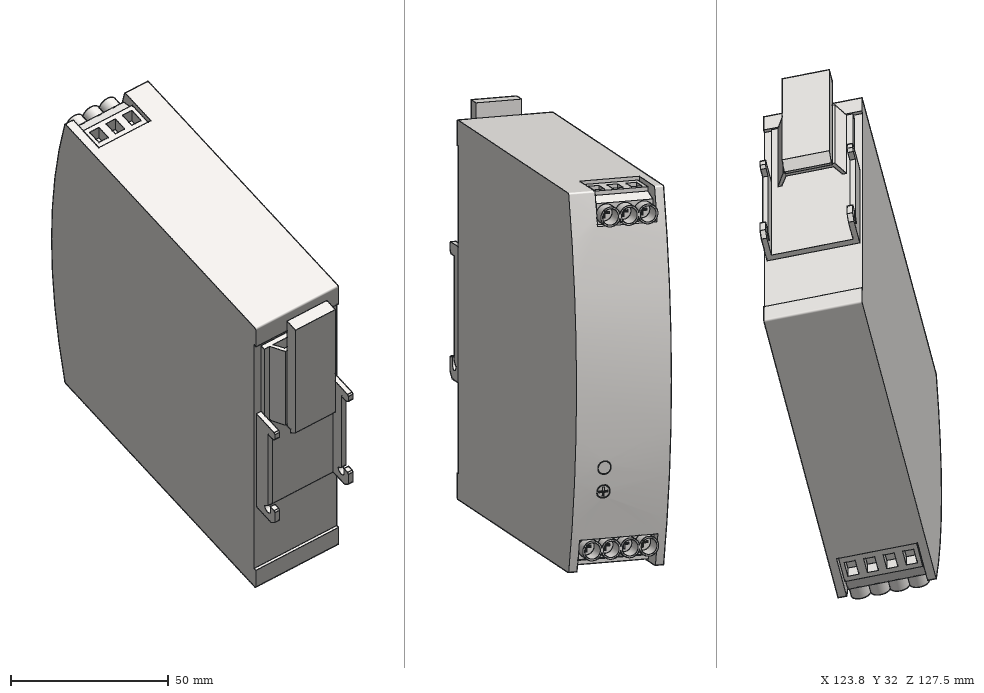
import cadquery as cq
import math

HOUSING_WIDTH = 32.0
HOUSING_HEIGHT = 124.0
HOUSING_DEPTH = 113.7
FACE_BULGE = 7.5
CORNER_RADIUS = 0.7
BACK_RECESS = 1.0
LIP_HEIGHT = 8.5
MID_HEIGHT = HOUSING_HEIGHT / 2
BACK_X = HOUSING_DEPTH - BACK_RECESS
FACE_RADIUS = (MID_HEIGHT**2 + FACE_BULGE**2) / (2 * FACE_BULGE)

TERMINAL_PITCH = 6.35
POCKET_GAP = 0.5
POCKET_BACK_X = 22.0
POCKET_DEPTH = 11.0
TERMINAL_FRONT_X = 7.6
SHELF_X = 12.4
SHELF_DROP = 1.2
SLOPE_TOP_DROP = 2.6
SLOPE_END_DROP = 4.1
WINDOW_LENGTH = 5.2
WINDOW_WIDTH = 3.6
WINDOW_DEPTH = 5.0
WINDOW_X = 16.7
TOP_TERMINALS = 3
TOP_CENTRE_Y = -2.9
BOTTOM_TERMINALS = 4
BOTTOM_CENTRE_Y = 0.0

COLLAR_FRONT_X = 3.1
COLLAR_DIAMETER = 6.5
COLLAR_BORE = 5.3
COLLAR_BORE_DEPTH = 6.0
COLLAR_DROP = 7.7
COLLAR_ROOT = 1.0
SCREW_SLOT_LENGTH = 3.4
SLOT_WIDTH = 0.6
SLOT_DEPTH = 1.0

CONTROL_Y = 6.1
INDICATOR_Z = 35.0
ADJUSTER_Z = 27.0
CONTROL_HOLE = 4.5
CONTROL_CORE = 4.2
CONTROL_DEPTH = 1.0
ADJUSTER_SLOT_LENGTH = 3.0

CLIP_BOTTOM_Z = 37.5
CLIP_TOP_Z = 82.0
CLIP_INNER_Y = 13.3
CLIP_THICKNESS = 1.8
CLIP_REST_X = 119.1
CLIP_TIP_X = 123.0
UPPER_HOOK_Z = 78.1
UPPER_HOOK_CHAMFER = 1.0
HOOK_EDGE_CHAMFER = 0.5
LOWER_HOOK_Z = 44.7
LOWER_HOOK_SLOT_X = 120.5
LOWER_HOOK_CHAMFER = 2.0
SLOT_CENTRE_X = 118.9
SLOT_CENTRE_Z = 42.3
BASE_X = 114.5
GUIDE_TOP_Z = 113.4
GUIDE_THICKNESS = 1.3
GUIDE_FOOT_Y = 11.2
GUIDE_CROWN_Y = 8.4
BAR_WIDTH = 15.4
BAR_OUTER_X = 123.82
BAR_TOP_Z = 127.5
BAR_CHAMFER_Z = 78.4
BAR_TIP_X = 120.9
BAR_TIP_Z = 75.6
BAR_NOTCH_Z = 77.4


def box(x_range, y_range, z_range):
    """Box between the two limits given for each axis."""
    sizes = [limits[1] - limits[0] for limits in (x_range, y_range, z_range)]
    corner = (x_range[0], y_range[0], z_range[0])
    return cq.Workplane("XY").box(*sizes, centered=False).translate(corner)


def extrude_along_y(profile, y_start, y_end):
    """Extrude an XZ profile between two Y positions."""
    return profile.extrude(-(y_end - y_start)).translate((0, y_start, 0))


def rod(x_start, x_end, y, z, diameter):
    """Cylinder along X."""
    plane = cq.Workplane("YZ", origin=(x_start, y, z))
    return plane.circle(diameter / 2).extrude(x_end - x_start)


def cross(x_start, y, z, length):
    """Cross-shaped slot cutter, running in +X from x_start."""
    plane = cq.Workplane("YZ", origin=(x_start, y, z))
    across = plane.rect(length, SLOT_WIDTH).extrude(SLOT_DEPTH)
    upright = plane.rect(SLOT_WIDTH, length).extrude(SLOT_DEPTH)
    return across.union(upright)


def face_x(z):
    """X of the curved face at height z."""
    return FACE_RADIUS - math.sqrt(FACE_RADIUS**2 - (z - MID_HEIGHT) ** 2)


def make_housing():
    half = HOUSING_WIDTH / 2
    profile = (
        cq.Workplane("XZ")
        .moveTo(FACE_BULGE, 0)
        .threePointArc((0, MID_HEIGHT), (FACE_BULGE, HOUSING_HEIGHT))
        .lineTo(HOUSING_DEPTH, HOUSING_HEIGHT)
        .lineTo(HOUSING_DEPTH, 0)
        .close()
    )
    body = extrude_along_y(profile, -half, half).edges("|Y").fillet(CORNER_RADIUS)
    recess = box((BACK_X, HOUSING_DEPTH), (-half, half), (LIP_HEIGHT, HOUSING_HEIGHT - LIP_HEIGHT))
    return body.cut(recess)


def add_terminals(body, count, centre_y, end_z, inward):
    """Cut a terminal pocket at one end of the housing and add its collars.

    end_z is the Z of that end; inward is +1 or -1, the Z direction into the housing.
    """

    def level(drop):
        return end_z + inward * drop

    block_half = count * TERMINAL_PITCH / 2
    pocket_half = block_half + POCKET_GAP
    pocket_z = sorted((end_z, level(POCKET_DEPTH)))
    body = body.cut(box((0, POCKET_BACK_X), (centre_y - pocket_half, centre_y + pocket_half), pocket_z))

    block = (
        cq.Workplane("XZ")
        .moveTo(POCKET_BACK_X, level(SHELF_DROP))
        .lineTo(SHELF_X, level(SHELF_DROP))
        .lineTo(SHELF_X, level(SLOPE_TOP_DROP))
        .lineTo(TERMINAL_FRONT_X, level(SLOPE_END_DROP))
        .lineTo(TERMINAL_FRONT_X, level(POCKET_DEPTH))
        .lineTo(POCKET_BACK_X, level(POCKET_DEPTH))
        .close()
    )
    body = body.union(extrude_along_y(block, centre_y - block_half, centre_y + block_half))

    collar_z = level(COLLAR_DROP)
    bore_end_x = COLLAR_FRONT_X + COLLAR_BORE_DEPTH
    window_z = sorted((level(SHELF_DROP), level(SHELF_DROP + WINDOW_DEPTH)))
    window_x = (WINDOW_X - WINDOW_LENGTH / 2, WINDOW_X + WINDOW_LENGTH / 2)
    for index in range(count):
        y = centre_y + (index - (count - 1) / 2) * TERMINAL_PITCH
        body = body.union(rod(COLLAR_FRONT_X, TERMINAL_FRONT_X + COLLAR_ROOT, y, collar_z, COLLAR_DIAMETER))
        body = body.cut(rod(COLLAR_FRONT_X, bore_end_x, y, collar_z, COLLAR_BORE))
        body = body.cut(cross(bore_end_x, y, collar_z, SCREW_SLOT_LENGTH))
        body = body.cut(box(window_x, (y - WINDOW_WIDTH / 2, y + WINDOW_WIDTH / 2), window_z))
    return body


def cut_controls(body):
    """Cut a ring groove around the indicator and the adjuster, and a cross slot in the adjuster."""
    for z in (INDICATOR_Z, ADJUSTER_Z):
        end_x = face_x(z) + CONTROL_DEPTH
        groove = rod(0, end_x, CONTROL_Y, z, CONTROL_HOLE).cut(rod(0, end_x, CONTROL_Y, z, CONTROL_CORE))
        body = body.cut(groove)
    return body.cut(cross(face_x(ADJUSTER_Z), CONTROL_Y, ADJUSTER_Z, ADJUSTER_SLOT_LENGTH))


def make_clip_plate(y_start):
    """Side plate with an upper hook and a slotted lower hook."""
    slot_radius = LOWER_HOOK_SLOT_X - SLOT_CENTRE_X
    slot_bottom = (SLOT_CENTRE_X, SLOT_CENTRE_Z - slot_radius)
    slot_inner_side = (SLOT_CENTRE_X - slot_radius, SLOT_CENTRE_Z)
    profile = (
        cq.Workplane("XZ")
        .moveTo(BACK_X, CLIP_BOTTOM_Z)
        .lineTo(CLIP_TIP_X - LOWER_HOOK_CHAMFER, CLIP_BOTTOM_Z)
        .lineTo(CLIP_TIP_X, CLIP_BOTTOM_Z + LOWER_HOOK_CHAMFER)
        .lineTo(CLIP_TIP_X, LOWER_HOOK_Z - HOOK_EDGE_CHAMFER)
        .lineTo(CLIP_TIP_X - HOOK_EDGE_CHAMFER, LOWER_HOOK_Z)
        .lineTo(LOWER_HOOK_SLOT_X, LOWER_HOOK_Z)
        .lineTo(LOWER_HOOK_SLOT_X, SLOT_CENTRE_Z)
        .threePointArc(slot_bottom, slot_inner_side)
        .lineTo(CLIP_REST_X, SLOT_CENTRE_Z + slot_radius)
        .lineTo(CLIP_REST_X, UPPER_HOOK_Z)
        .lineTo(CLIP_TIP_X - UPPER_HOOK_CHAMFER, UPPER_HOOK_Z)
        .lineTo(CLIP_TIP_X, UPPER_HOOK_Z + UPPER_HOOK_CHAMFER)
        .lineTo(CLIP_TIP_X, CLIP_TOP_Z - HOOK_EDGE_CHAMFER)
        .lineTo(CLIP_TIP_X - HOOK_EDGE_CHAMFER, CLIP_TOP_Z)
        .lineTo(BACK_X, CLIP_TOP_Z)
        .close()
    )
    return extrude_along_y(profile, y_start, y_start + CLIP_THICKNESS)


def make_guide():
    """Folded strip that stands off the base plate and carries the bar."""
    inner_x = CLIP_REST_X - GUIDE_THICKNESS
    profile = (
        cq.Workplane("XY")
        .moveTo(BASE_X, GUIDE_FOOT_Y)
        .lineTo(CLIP_REST_X, GUIDE_CROWN_Y)
        .lineTo(CLIP_REST_X, -GUIDE_CROWN_Y)
        .lineTo(BASE_X, -GUIDE_FOOT_Y)
        .lineTo(BASE_X, -GUIDE_FOOT_Y + GUIDE_THICKNESS)
        .lineTo(inner_x, -GUIDE_CROWN_Y + GUIDE_THICKNESS / 2)
        .lineTo(inner_x, GUIDE_CROWN_Y - GUIDE_THICKNESS / 2)
        .lineTo(BASE_X, GUIDE_FOOT_Y - GUIDE_THICKNESS)
        .close()
    )
    return profile.extrude(GUIDE_TOP_Z - UPPER_HOOK_Z).translate((0, 0, UPPER_HOOK_Z))


def make_bar():
    """Sliding bar with a pointed lower end."""
    profile = (
        cq.Workplane("XZ")
        .moveTo(CLIP_REST_X, BAR_TOP_Z)
        .lineTo(BAR_OUTER_X, BAR_TOP_Z)
        .lineTo(BAR_OUTER_X, BAR_CHAMFER_Z)
        .lineTo(BAR_TIP_X, BAR_TIP_Z)
        .lineTo(BAR_TIP_X, BAR_NOTCH_Z)
        .lineTo(CLIP_REST_X, BAR_NOTCH_Z)
        .close()
    )
    return extrude_along_y(profile, -BAR_WIDTH / 2, BAR_WIDTH / 2)


def make_clip():
    base = box((BACK_X, BASE_X), (-CLIP_INNER_Y, CLIP_INNER_Y), (CLIP_BOTTOM_Z, GUIDE_TOP_Z))
    clip = base.union(make_guide()).union(make_bar())
    for y_start in (CLIP_INNER_Y, -CLIP_INNER_Y - CLIP_THICKNESS):
        clip = clip.union(make_clip_plate(y_start))
    return clip


housing = make_housing()
housing = add_terminals(housing, TOP_TERMINALS, TOP_CENTRE_Y, HOUSING_HEIGHT, -1)
housing = add_terminals(housing, BOTTOM_TERMINALS, BOTTOM_CENTRE_Y, 0, 1)
housing = cut_controls(housing)
result = housing.union(make_clip())